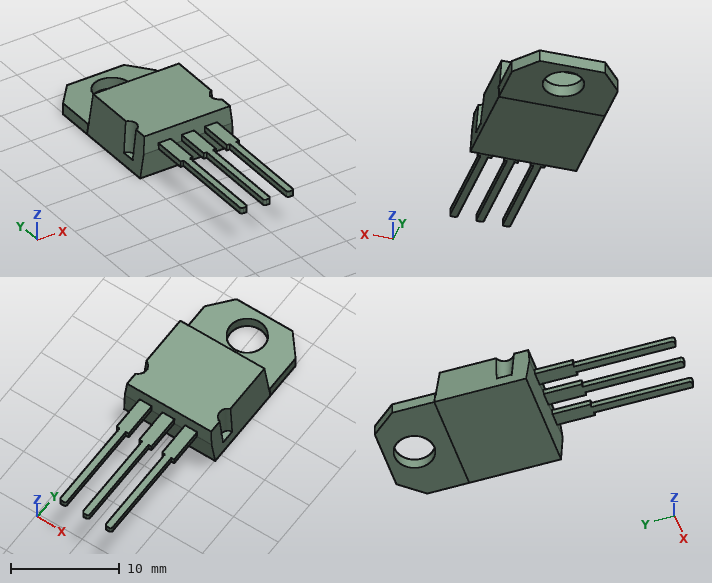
import cadquery as cq
import math

DRAFT_ANGLE = 5
DRAFT = math.tan(math.radians(DRAFT_ANGLE))

LENGTH = 28.9

WIDTH = 10.2
HEIGHT = 4.5
HOUSING_BACK = 9.13
PARTING_Z = 2.72

NOTCH_X = 5.03
NOTCH_Y = 2.4
NOTCH_TOP_RADIUS = 0.92
NOTCH_FLOOR_RADIUS = 0.72

TAB_THICKNESS = 1.2
TAB_END = 15.55
TAB_CORNER_X = 1.97
TAB_CORNER_Y = 2.35
HOLE_DIAMETER = 3.81
HOLE_TO_END = 2.8

LEAD_COUNT = 3
LEAD_PITCH = 2.55
LEAD_THICKNESS = 0.6
LEAD_TIP = TAB_END - LENGTH
SHOULDER_Y = -3.67
WIDE_WIDTH = 1.35
NARROW_WIDTH = 0.72
TIP_RADIUS = 0.23


def back_wall_y(z):
    """Y of the leaning rear housing wall at height z."""
    return HOUSING_BACK - z * DRAFT


def front_wall_y(z):
    """Y of the lead-side housing wall, which leans back both ways from the parting line."""
    return abs(z - PARTING_Z) * DRAFT


def extrude_along_x(points, width):
    """Centred prism of a side profile given as (Y, Z) points."""
    return cq.Workplane("YZ").polyline(points).close().extrude(width / 2, both=True)


def make_notch(side):
    """Tapered round pocket, open at the top, in the left (-1) or right (+1) wall."""
    depth = HEIGHT - TAB_THICKNESS
    cone = cq.Solid.makeCone(
        NOTCH_FLOOR_RADIUS,
        NOTCH_TOP_RADIUS,
        depth,
        pnt=cq.Vector(side * NOTCH_X, NOTCH_Y, TAB_THICKNESS),
    )
    return cq.Workplane(cone)


def make_housing():
    side_profile = [
        (front_wall_y(0), 0),
        (0, PARTING_Z),
        (front_wall_y(HEIGHT), HEIGHT),
        (back_wall_y(HEIGHT), HEIGHT),
        (HOUSING_BACK, 0),
    ]
    top_half_width = WIDTH / 2 - HEIGHT * DRAFT
    front_profile = [
        (-WIDTH / 2, 0),
        (WIDTH / 2, 0),
        (top_half_width, HEIGHT),
        (-top_half_width, HEIGHT),
    ]
    drafted_sides = (
        cq.Workplane("XZ", origin=(0, HOUSING_BACK, 0)).polyline(front_profile).close().extrude(HOUSING_BACK)
    )
    housing = extrude_along_x(side_profile, WIDTH).intersect(drafted_sides)
    for side in (-1, 1):
        housing = housing.cut(make_notch(side))
    return housing


def make_tab():
    """Plate with two cut corners and a hole, butting against the rear housing wall."""
    side_profile = [
        (HOUSING_BACK, 0),
        (TAB_END, 0),
        (TAB_END, TAB_THICKNESS),
        (back_wall_y(TAB_THICKNESS), TAB_THICKNESS),
    ]
    tab = extrude_along_x(side_profile, WIDTH)
    for side in (-1, 1):
        corner = [
            (side * WIDTH / 2, TAB_END),
            (side * (WIDTH / 2 - TAB_CORNER_X), TAB_END),
            (side * WIDTH / 2, TAB_END - TAB_CORNER_Y),
        ]
        tab = tab.cut(cq.Workplane("XY").polyline(corner).close().extrude(TAB_THICKNESS))
    hole = (
        cq.Workplane("XY")
        .center(0, TAB_END - HOLE_TO_END)
        .circle(HOLE_DIAMETER / 2)
        .extrude(TAB_THICKNESS)
    )
    return tab.cut(hole)


def make_lead(x):
    """Flat lead with a wide root, a narrow shank and a rounded tip."""
    lead_top = PARTING_Z + LEAD_THICKNESS
    root_profile = [
        (0, PARTING_Z),
        (front_wall_y(lead_top), lead_top),
        (SHOULDER_Y, lead_top),
        (SHOULDER_Y, PARTING_Z),
    ]
    root = extrude_along_x(root_profile, WIDE_WIDTH)
    shank = (
        cq.Workplane("XY", origin=(0, (SHOULDER_Y + LEAD_TIP) / 2, PARTING_Z))
        .rect(NARROW_WIDTH, SHOULDER_Y - LEAD_TIP)
        .extrude(LEAD_THICKNESS)
        .faces("<Y")
        .edges("|Z")
        .fillet(TIP_RADIUS)
    )
    return root.union(shank).translate((x, 0, 0))


housing = make_housing()
tab = make_tab()
leads = []
for index in range(LEAD_COUNT):
    lead_x = (index - (LEAD_COUNT - 1) / 2) * LEAD_PITCH
    leads.append(make_lead(lead_x).val())

result = cq.Compound.makeCompound([housing.val(), tab.val(), *leads])